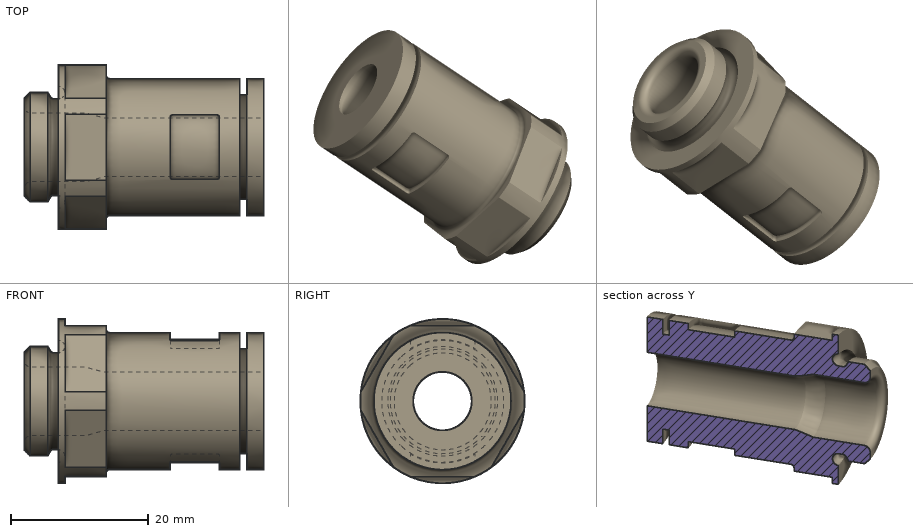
import cadquery as cq
import math

FLANGE_START = 5.0
HEX_START = 6.0
HEX_END = 12.0
GROOVE_START = 31.5
GROOVE_END = 32.5
LENGTH = 35.0

NECK_RADIUS = 14.16 / 2
THREAD_RADIUS = 16.0 / 2
BODY_RADIUS = 20.0 / 2
FLANGE_RADIUS = 24.0 / 2
GROOVE_RADIUS = 15.3 / 2

NOSE_CHAMFER = THREAD_RADIUS - NECK_RADIUS
THREAD_END = 3.45
RELIEF_ANGLE = math.radians(60)
RELIEF_FILLET = 0.5

RECESS_RADIUS = 17.8 / 2
RECESS_DEPTH = (RECESS_RADIUS - NECK_RADIUS) / 2

BODY_FILLET = 0.45
HEX_ACROSS_FLATS = 22.0
HEX_SIDES = 6

BORE_RADIUS = 8.5 / 2
MOUTH_BORE_RADIUS = 10.0 / 2
MOUTH_ROUND = 1.0
MOUTH_BORE_END = 9.0
BORE_TAPER_ANGLE = math.radians(15)

WINDOW_START = 21.3
WINDOW_LENGTH = 7.2
WINDOW_WIDTH = 9.4
WINDOW_FLOOR_RADIUS = 9.0
WINDOW_CORNER = 0.4


def revolve_about_x(profile):
    """Turn a closed XY profile a full revolution about the X axis."""
    return profile.close().revolve(360, (0, 0, 0), (1, 0, 0))


def cylinder_along_x(radius, start, end):
    return cq.Workplane("YZ", origin=(start, 0, 0)).circle(radius).extrude(end - start)


def make_turned_body():
    """Revolve the outer outline, from the nose to the end ring."""
    diagonal = math.sqrt(0.5)
    slope_run = (THREAD_RADIUS - NECK_RADIUS) / math.tan(RELIEF_ANGLE)
    corner_x = THREAD_END + slope_run
    tangent = RELIEF_FILLET * math.tan(RELIEF_ANGLE / 2)
    slope_end_x = corner_x - tangent * math.cos(RELIEF_ANGLE)
    slope_end_r = NECK_RADIUS + tangent * math.sin(RELIEF_ANGLE)
    relief_center_x = corner_x + tangent
    relief_mid_x = relief_center_x - RELIEF_FILLET * math.sin(RELIEF_ANGLE / 2)
    relief_mid_r = NECK_RADIUS + RELIEF_FILLET * (1 - math.cos(RELIEF_ANGLE / 2))
    recess_mid_r = (NECK_RADIUS + RECESS_RADIUS) / 2
    fillet_mid = BODY_FILLET * (1 - diagonal)
    profile = (
        cq.Workplane("XY")
        .lineTo(0, NECK_RADIUS)
        .lineTo(NOSE_CHAMFER, THREAD_RADIUS)
        .lineTo(THREAD_END, THREAD_RADIUS)
        .lineTo(slope_end_x, slope_end_r)
        .threePointArc((relief_mid_x, relief_mid_r), (relief_center_x, NECK_RADIUS))
        .lineTo(FLANGE_START, NECK_RADIUS)
        .threePointArc((FLANGE_START + RECESS_DEPTH, recess_mid_r), (FLANGE_START, RECESS_RADIUS))
        .lineTo(FLANGE_START, FLANGE_RADIUS)
        .lineTo(HEX_END, FLANGE_RADIUS)
        .lineTo(HEX_END, BODY_RADIUS + BODY_FILLET)
        .threePointArc(
            (HEX_END + fillet_mid, BODY_RADIUS + fillet_mid),
            (HEX_END + BODY_FILLET, BODY_RADIUS),
        )
        .lineTo(GROOVE_START, BODY_RADIUS)
        .lineTo(GROOVE_START, GROOVE_RADIUS)
        .lineTo(GROOVE_END, GROOVE_RADIUS)
        .lineTo(GROOVE_END, BODY_RADIUS)
        .lineTo(LENGTH, BODY_RADIUS)
        .lineTo(LENGTH, 0)
    )
    return revolve_about_x(profile)


def make_hex_cutter():
    """Material outside the wrench flats; one pair of flats faces +Z and -Z."""
    across_corners = HEX_ACROSS_FLATS / math.cos(math.pi / HEX_SIDES)
    return (
        cq.Workplane("YZ", origin=(HEX_START, 0, 0))
        .circle(2 * FLANGE_RADIUS)
        .polygon(HEX_SIDES, across_corners)
        .extrude(HEX_END - HEX_START)
    )


def make_bore():
    """Through bore with a wider, rounded mouth that tapers down to the bore."""
    taper_length = (MOUTH_BORE_RADIUS - BORE_RADIUS) / math.tan(BORE_TAPER_ANGLE)
    mid = MOUTH_ROUND * (1 - math.sqrt(0.5))
    profile = (
        cq.Workplane("XY")
        .lineTo(0, MOUTH_BORE_RADIUS + MOUTH_ROUND)
        .threePointArc((mid, MOUTH_BORE_RADIUS + mid), (MOUTH_ROUND, MOUTH_BORE_RADIUS))
        .lineTo(MOUTH_BORE_END, MOUTH_BORE_RADIUS)
        .lineTo(MOUTH_BORE_END + taper_length, BORE_RADIUS)
        .lineTo(LENGTH, BORE_RADIUS)
        .lineTo(LENGTH, 0)
    )
    return revolve_about_x(profile)


def make_window_cutters():
    """Rounded rectangles through the wall, stopped at the cylindrical floor."""
    window_end = WINDOW_START + WINDOW_LENGTH
    through = (
        cq.Workplane("XY")
        .center(WINDOW_START + WINDOW_LENGTH / 2, 0)
        .rect(WINDOW_LENGTH, WINDOW_WIDTH)
        .extrude(FLANGE_RADIUS, both=True)
        .edges("|Z")
        .fillet(WINDOW_CORNER)
    )
    return through.cut(cylinder_along_x(WINDOW_FLOOR_RADIUS, WINDOW_START, window_end))


result = make_turned_body().cut(make_hex_cutter()).cut(make_bore()).cut(make_window_cutters())